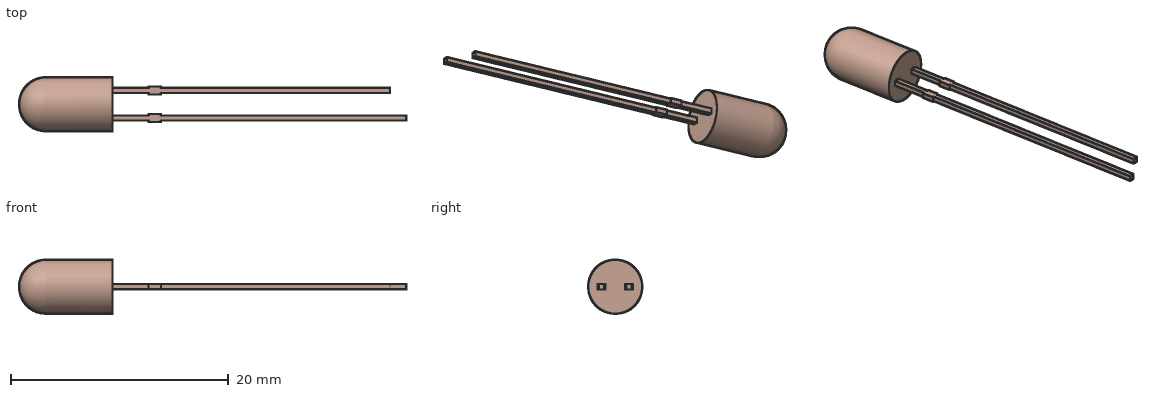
import cadquery as cq

overall_length = 35.6
lens_diameter = 5.0
lens_length = 8.6

lead_thickness = 0.5
lead_pitch = 2.53
lead_length_difference = 1.5

stop_start = 3.3
stop_length = 1.1
stop_width = 0.75

lens_radius = lens_diameter / 2
barrel_length = lens_length - lens_radius
long_lead_length = overall_length - lens_length
short_lead_length = long_lead_length - lead_length_difference


def make_lens():
    """Solid barrel with a hemispherical dome towards -X."""
    barrel = cq.Workplane("YZ").circle(lens_radius).extrude(-barrel_length)
    dome = cq.Workplane("XY").sphere(lens_radius).translate((-barrel_length, 0, 0))
    return barrel.union(dome)


def make_bar(start, length, width, y):
    """Bar along +X, centred on the given Y and on Z = 0."""
    return (
        cq.Workplane("YZ", origin=(start, y, 0))
        .rect(width, lead_thickness)
        .extrude(length)
    )


def make_lead(length, y):
    """Square lead leaving the lens base, with its stop."""
    wire = make_bar(0, length, lead_thickness, y)
    stop = make_bar(stop_start, stop_length, stop_width, y)
    return wire.union(stop)


long_lead = make_lead(long_lead_length, -lead_pitch / 2)
short_lead = make_lead(short_lead_length, lead_pitch / 2)
result = make_lens().union(long_lead).union(short_lead)